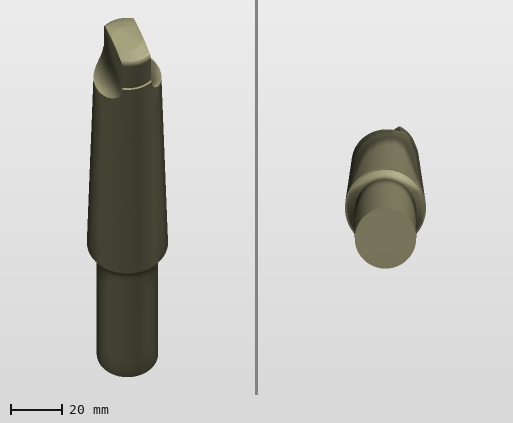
import cadquery as cq
import math

total_length = 191.5
stem_length = 64.5
stem_diameter = 24.0
shoulder_diameter = 30.0
taper_diameter = 31.6
taper_small_diameter = 26.0
tang_length = 15.7

tang_diameter = 24.3
tang_thickness = 11.9
end_flat_diameter = 12.3
end_crown_diameter = 20.7
end_crown_drop = 0.8
edge_height = 3.0
runout_radius = 8.0

stem_radius = stem_diameter / 2
taper_radius = taper_diameter / 2
tang_radius = tang_diameter / 2
shoulder_radius = shoulder_diameter / 2
shoulder_height = shoulder_radius - stem_radius
taper_start = stem_length + shoulder_height
tang_start = total_length - tang_length


def turned_body():
    """Stem, shoulder, taper and rounded tang blank, revolved about Z."""
    crown_radius = end_crown_diameter / 2
    crown_z = total_length - end_crown_drop
    edge_z = total_length - edge_height
    edge_width = tang_radius - crown_radius
    edge_drop = crown_z - edge_z
    arc_middle = (
        crown_radius + edge_width * math.sin(math.pi / 4),
        edge_z + edge_drop * math.cos(math.pi / 4),
    )
    return (
        cq.Workplane("XZ")
        .moveTo(0, 0)
        .lineTo(stem_radius, 0)
        .lineTo(stem_radius, stem_length)
        .lineTo(shoulder_radius, taper_start)
        .lineTo(taper_radius, taper_start)
        .lineTo(taper_small_diameter / 2, tang_start)
        .lineTo(tang_radius, tang_start)
        .lineTo(tang_radius, edge_z)
        .threePointArc(arc_middle, (crown_radius, crown_z))
        .lineTo(end_flat_diameter / 2, total_length)
        .lineTo(0, total_length)
        .close()
        .revolve(360, (0, 0, 0), (0, 1, 0))
    )


def tang_side_cutter():
    """Material beside the +Y tang flat, with a concave run-out into the taper."""
    flat_y = tang_thickness / 2
    runout_y = flat_y + runout_radius
    arc_offset = runout_radius * math.sin(math.pi / 4)
    return (
        cq.Workplane("YZ")
        .moveTo(flat_y, total_length)
        .lineTo(flat_y, tang_start)
        .threePointArc(
            (runout_y - arc_offset, tang_start - arc_offset),
            (runout_y, tang_start - runout_radius),
        )
        .lineTo(taper_diameter, tang_start - runout_radius)
        .lineTo(taper_diameter, total_length)
        .close()
        .extrude(taper_diameter, both=True)
    )


side_cutter = tang_side_cutter()
result = turned_body().cut(side_cutter).cut(side_cutter.mirror("XZ"))